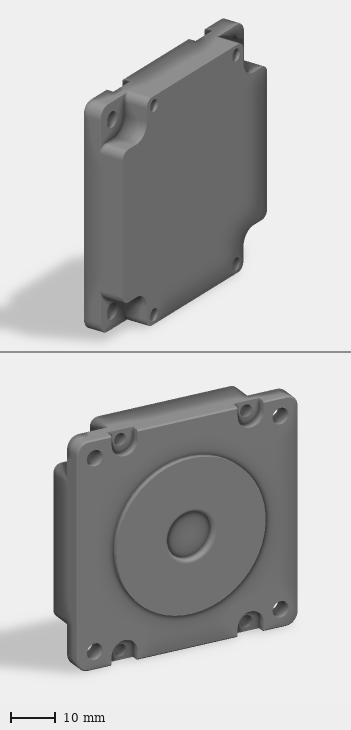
import cadquery as cq
side = 56.4
total_thickness = 12.4
pilot_height = 1.5
flange_back = 6.25
half_side = side / 2

corner_radius = 3.0
front_chamfer = 0.35
back_chamfer = 0.15

notch_size = 9.3
notch_inner_radius = 3.95
notch_outer_radius = 2.0

pilot_diameter = 38.1
recess_diameter = 11.5
recess_depth = 2.0
recess_rim_radius = 0.85

mount_hole_diameter = 4.0
mount_hole_offset = 23.7

screw_hole_diameter = 3.05
screw_offset_y = 16.1
screw_offset_z = 25.85
screw_seat_diameter = 6.6
screw_seat_depth = 2.15

corner_signs = [(sy, sz) for sy in (-1, 1) for sz in (-1, 1)]


def yz_plane(x):
    """Sketch plane at the given X, with local axes along Y and Z."""
    return cq.Workplane("YZ", origin=(x, 0, 0))


def corner_points(offset_y, offset_z):
    """One point in each quadrant of the square face."""
    return [(sy * offset_y, sz * offset_z) for sy, sz in corner_signs]


def make_flange():
    """Rounded square plate with bevelled front and back edges."""
    flange = (
        yz_plane(pilot_height)
        .rect(side, side)
        .extrude(flange_back - pilot_height)
        .edges("|X")
        .fillet(corner_radius)
    )
    flange = flange.faces("<X").chamfer(front_chamfer)
    return flange.faces(">X").chamfer(back_chamfer)


def make_rear_body():
    """Square block with four corner notches, their inner and outer corners rounded."""
    body_start = flange_back - back_chamfer
    depth = total_thickness - body_start
    notch_wall = half_side - notch_size
    body = yz_plane(body_start).rect(side, side).extrude(depth)
    notch_center = half_side - notch_size / 2
    notches = (
        yz_plane(body_start)
        .pushPoints(corner_points(notch_center, notch_center))
        .rect(notch_size, notch_size)
        .extrude(depth)
    )
    body = body.cut(notches)
    near_wall = notch_wall + notch_size / 2
    inner_edges = cq.selectors.BoxSelector(
        (0, -near_wall, -near_wall), (2 * total_thickness, near_wall, near_wall)
    )
    body = body.edges("|X").edges(inner_edges).fillet(notch_inner_radius)
    outer_edges = "(|X) and (<Y or >Y or <Z or >Z)"
    return body.edges(outer_edges).fillet(notch_outer_radius)


def make_pilot():
    """Low round boss on the front face."""
    return yz_plane(0).circle(pilot_diameter / 2).extrude(pilot_height)


def cut_recess(part):
    """Blind central recess with a rounded rim."""
    recess = yz_plane(0).circle(recess_diameter / 2).extrude(recess_depth)
    rim = cq.selectors.RadiusNthSelector(0)
    return part.cut(recess).faces("<X").edges(rim).fillet(recess_rim_radius)


def cut_mount_holes(part):
    """Through holes at the corners."""
    holes = (
        yz_plane(0)
        .pushPoints(corner_points(mount_hole_offset, mount_hole_offset))
        .circle(mount_hole_diameter / 2)
        .extrude(total_thickness)
    )
    return part.cut(holes)


def cut_screw_holes(part):
    """Through holes, each in a round seat that opens onto the top or bottom side."""
    centers = corner_points(screw_offset_y, screw_offset_z)
    holes = (
        yz_plane(0)
        .pushPoints(centers)
        .circle(screw_hole_diameter / 2)
        .extrude(total_thickness)
    )
    seats = (
        yz_plane(pilot_height)
        .pushPoints(centers)
        .circle(screw_seat_diameter / 2)
        .extrude(screw_seat_depth)
    )
    opening_length = half_side - screw_offset_z
    opening_center = screw_offset_z + opening_length / 2
    openings = (
        yz_plane(pilot_height)
        .pushPoints(corner_points(screw_offset_y, opening_center))
        .rect(screw_seat_diameter, opening_length)
        .extrude(screw_seat_depth)
    )
    return part.cut(holes).cut(seats).cut(openings)


result = make_flange().union(make_rear_body())
result = result.union(make_pilot())
result = cut_recess(result)
result = cut_mount_holes(result)
result = cut_screw_holes(result)